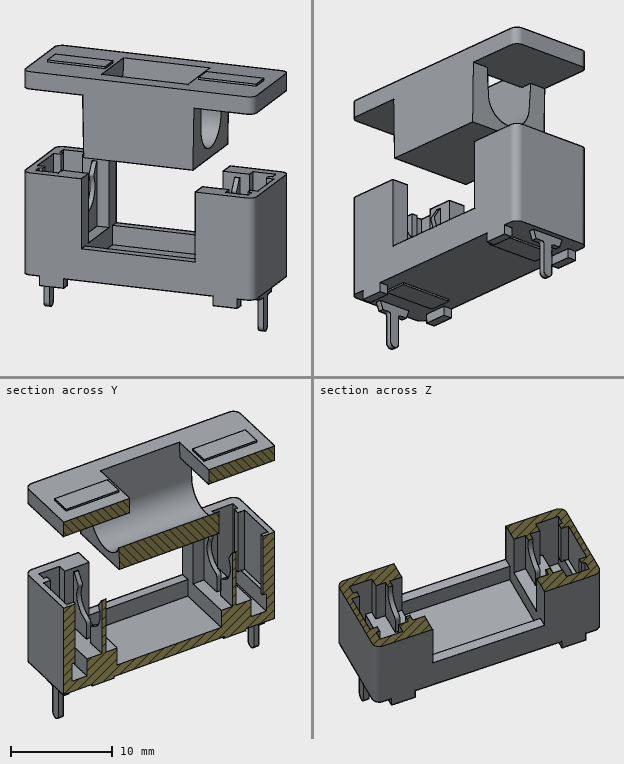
import cadquery as cq
import math


length = 24.4
width = 9.4
corner_radius = 0.8
wall = 1.0

base_height = 10.5
ledge_height = 3.3
middle_length = 12.0
middle_floor = 1.3
chamber_floor = 3.35
well_length = 1.7
chamber_length = 2.38
slot_half_width = 2.75
rib_outer = 2.82
rib_inner = 2.15
rib_depth = 0.38
recess_wall = 0.6
foot_length = 2.55
foot_inset = 1.77
foot_height = 0.97
pad_width = 6.0
pad_height = 0.2
pad_inner = 6.35
pad_outer = 8.85

clip_thickness = 0.5
clip_inner = 7.27
clip_height = 10.04
fuse_seat_z = 7.63
fuse_seat_radius = 2.18
clip_slit = 0.72
mouth_half_width = 2.65
throat_half_width = 1.85
throat_fillet = 0.25
slit_fillet = 0.5
tail_thickness = 0.6
tail_end_gap = 0.61
tail_root_width = 3.76
tail_shoulder_width = 3.07
tail_shoulder_z = -0.9
pin_width = 1.08
pin_fillet = 0.2
pin_length = 4.5

stem_bottom = 12.7
plate_bottom = 19.1
plate_thickness = 1.8
stem_top_length = 11.75
stem_bottom_length = 11.52
window_length = 9.11
window_width = 5.9
channel_radius = 2.7
legend_length = 6.1
legend_width = 2.12
legend_inner = 4.92
legend_height = 0.2

plate_top = plate_bottom + plate_thickness
half_length = length / 2
half_width = width / 2
cavity_half_width = half_width - wall
chamber_outer = half_length - wall
chamber_inner = chamber_outer - chamber_length
above = 0.25


def block(x_range, y_range, z_range):
    """Box between the given limits."""
    return cq.Workplane("XY").box(
        x_range[1] - x_range[0],
        y_range[1] - y_range[0],
        z_range[1] - z_range[0],
        centered=False,
    ).translate((x_range[0], y_range[0], z_range[0]))


def rounded_slab(bottom, height):
    """Slab of the common outline with rounded upright corners."""
    return (
        cq.Workplane("XY", origin=(0, 0, bottom))
        .rect(length, width)
        .extrude(height)
        .edges("|Z")
        .fillet(corner_radius)
    )


def both_ends(shape):
    """The shape at the +X end together with its mirror image at the -X end."""
    return shape.union(shape.mirror("YZ"))


def base_shell():
    """Open middle with low side walls, between two solid ends."""
    half_middle = middle_length / 2
    middle = (-half_middle, half_middle)
    shell = rounded_slab(0, base_height)
    shell = shell.cut(block(middle, (-width, width), (ledge_height, base_height + above)))
    return shell.cut(block(middle, (-cavity_half_width, cavity_half_width), (middle_floor, base_height)))


def chamber():
    """Space at the +X end: wide chamber, slot to the middle, recess between two ribs, and well."""
    z_range = (chamber_floor, base_height + above)
    space = block((chamber_inner, chamber_outer), (-cavity_half_width, cavity_half_width), z_range)
    slot = block((middle_length / 2 - above, chamber_inner), (-slot_half_width, slot_half_width), z_range)
    recess = block((chamber_inner, half_length - recess_wall), (-rib_inner, rib_inner), z_range)
    space = space.union(slot).union(recess)
    for y_range in ((rib_inner, rib_outer), (-rib_outer, -rib_inner)):
        space = space.cut(block((chamber_outer - rib_depth, chamber_outer), y_range, z_range))
    well_x = (chamber_outer - well_length, chamber_outer)
    well = block(well_x, (-cavity_half_width, cavity_half_width), (middle_floor, chamber_floor))
    return space.union(well)


def feet():
    """Two feet and the low pad under the +X end."""
    foot_end = half_length - foot_inset
    foot_x = (foot_end - foot_length, foot_end)
    parts = block((pad_inner, pad_outer), (-pad_width / 2, pad_width / 2), (-pad_height, 0))
    for y_range in ((cavity_half_width, half_width), (-half_width, -cavity_half_width)):
        parts = parts.union(block(foot_x, y_range, (-foot_height, 0)))
    return parts


def spring_clip():
    """Flat spring clip across the slot of the +X end, with a round fuse seat, mouth and slit."""
    throat_z = fuse_seat_z + math.sqrt(fuse_seat_radius**2 - throat_half_width**2)
    slit_z = fuse_seat_z - math.sqrt(fuse_seat_radius**2 - (clip_slit / 2) ** 2)
    opening = (
        cq.Workplane("YZ", origin=(clip_inner, 0, 0))
        .moveTo(-clip_slit / 2, chamber_floor)
        .lineTo(clip_slit / 2, chamber_floor)
        .lineTo(clip_slit / 2, slit_z)
        .threePointArc((fuse_seat_radius, fuse_seat_z), (throat_half_width, throat_z))
        .lineTo(mouth_half_width, clip_height)
        .lineTo(-mouth_half_width, clip_height)
        .lineTo(-throat_half_width, throat_z)
        .threePointArc((-fuse_seat_radius, fuse_seat_z), (-clip_slit / 2, slit_z))
        .close()
        .extrude(clip_thickness)
    )
    for y, z, radius in (
        (throat_half_width, throat_z, throat_fillet),
        (clip_slit / 2, slit_z, slit_fillet),
    ):
        for side in (1, -1):
            corner = cq.selectors.NearestToPointSelector((clip_inner + clip_thickness / 2, side * y, z))
            opening = opening.edges("|X").edges(corner).fillet(radius)
    clip_x = (clip_inner, clip_inner + clip_thickness)
    return block(clip_x, (-slot_half_width, slot_half_width), (chamber_floor, clip_height)).cut(opening)


def tail():
    """Solder tail at the +X end: tapered root, then a pin with a round tip."""
    x_start = half_length - tail_end_gap - tail_thickness
    root_half = tail_root_width / 2
    shoulder_half = tail_shoulder_width / 2
    pin_half = pin_width / 2
    tip_start = pin_half - pin_length
    return (
        cq.Workplane("YZ", origin=(x_start, 0, 0))
        .moveTo(root_half, 0)
        .lineTo(shoulder_half, tail_shoulder_z)
        .lineTo(pin_half + pin_fillet, tail_shoulder_z)
        .radiusArc((pin_half, tail_shoulder_z - pin_fillet), -pin_fillet)
        .lineTo(pin_half, tip_start)
        .threePointArc((0, -pin_length), (-pin_half, tip_start))
        .lineTo(-pin_half, tail_shoulder_z - pin_fillet)
        .radiusArc((-pin_half - pin_fillet, tail_shoulder_z), -pin_fillet)
        .lineTo(-shoulder_half, tail_shoulder_z)
        .lineTo(-root_half, 0)
        .close()
        .extrude(tail_thickness)
    )


def make_base():
    base = base_shell().cut(both_ends(chamber()))
    for feature in (feet(), spring_clip(), tail()):
        base = base.union(both_ends(feature))
    return base


def channel(channel_length):
    """Fuse channel along X: a round bottom below side walls that lean out towards the top."""
    centre_z = stem_bottom + wall + channel_radius
    top_half = window_width / 2
    return (
        cq.Workplane("YZ", origin=(-channel_length / 2, 0, 0))
        .moveTo(-top_half, plate_top)
        .lineTo(-channel_radius, centre_z)
        .threePointArc((0, centre_z - channel_radius), (channel_radius, centre_z))
        .lineTo(top_half, plate_top)
        .close()
        .extrude(channel_length)
    )


def stem():
    """Block under the plate, slightly shorter at its bottom, with the channel running through."""
    body = (
        cq.Workplane("XZ", origin=(0, half_width, 0))
        .moveTo(-stem_bottom_length / 2, stem_bottom)
        .lineTo(stem_bottom_length / 2, stem_bottom)
        .lineTo(stem_top_length / 2, plate_bottom)
        .lineTo(-stem_top_length / 2, plate_bottom)
        .close()
        .extrude(width)
    )
    return body.cut(channel(length))


def make_cover():
    plate = rounded_slab(plate_bottom, plate_thickness).cut(channel(window_length))
    legend = block(
        (legend_inner, legend_inner + legend_length),
        (-legend_width / 2, legend_width / 2),
        (plate_top, plate_top + legend_height),
    )
    return plate.union(stem()).union(both_ends(legend))


base = make_base()
cover = make_cover()
result = cq.Compound.makeCompound([base.val(), cover.val()])